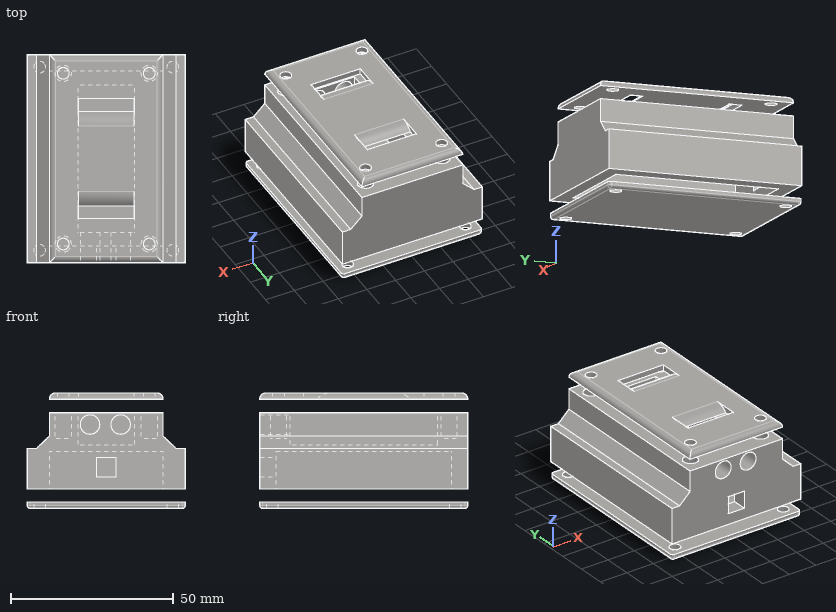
import cadquery as cq
import math

body_width = 48.76
body_length = 64.12
total_height = 35.61
plate_thickness = 2.0
housing_bottom = 6.0
housing_height = 23.5
housing_top = housing_bottom + housing_height
lid_bottom = total_height - plate_thickness

base_fillet = 0.95
base_hole_pitch_x = 41.0
base_hole_pitch_y = 56.4
screw_diameter = 3.6

neck_width = 35.1
foot_height = 12.5
shoulder_rise = 3.8
shoulder_run = 3.95

pocket_width = 17.5
pocket_length = 45.4
pocket_depth = 10.0

cavity_end_wall = 5.1
cavity_width = neck_width
floor_thickness = 2.0
cavity_depth = housing_height - pocket_depth - floor_thickness

cable_hole_diameter = 6.0
cable_hole_positions = (-5.0, 4.45)
cable_hole_drop = 3.65
window_size = 6.0
window_rise = 3.75

lid_fillet = 1.99
lid_hole_pitch_x = 26.5
lid_hole_pitch_y = 52.55
insert_diameter = 5.0
insert_depth = 8.0

slot_width = 17.1
slot_inner = 10.1
slot_outer = 18.5
ramp_run = 4.4


def corner_holes(pitch_x, pitch_y, diameter, bottom, depth):
    """Four vertical cylinders at the corners of a centred rectangle."""
    return (
        cq.Workplane("XY", origin=(0, 0, bottom))
        .rect(pitch_x, pitch_y, forConstruction=True)
        .vertices()
        .circle(diameter / 2)
        .extrude(depth)
    )


def make_base_plate():
    """Flat plate with rounded corners and a rounded lower rim."""
    plate = cq.Workplane("XY").rect(body_width, body_length).extrude(plate_thickness)
    plate = plate.edges("|Z").fillet(base_fillet)
    plate = plate.faces("<Z").edges().fillet(base_fillet)
    return plate.cut(
        corner_holes(base_hole_pitch_x, base_hole_pitch_y, screw_diameter, 0, plate_thickness)
    )


def make_housing():
    """Stepped block with a top pocket, a lower cavity and front openings."""
    foot_half = body_width / 2
    neck_half = neck_width / 2
    shoulder_bottom = housing_bottom + foot_height
    half_profile = [
        (foot_half, housing_bottom),
        (foot_half, shoulder_bottom),
        (neck_half + shoulder_run, shoulder_bottom),
        (neck_half, shoulder_bottom + shoulder_rise),
        (neck_half, housing_top),
    ]
    mirrored = [(-x, z) for x, z in reversed(half_profile)]
    front_y = -body_length / 2
    front = cq.Workplane("XZ", origin=(0, front_y, 0))
    housing = front.polyline(half_profile + mirrored).close().extrude(-body_length)

    pocket_floor = housing_top - pocket_depth
    pocket = (
        cq.Workplane("XY", origin=(0, 0, pocket_floor))
        .rect(pocket_width, pocket_length)
        .extrude(pocket_depth)
    )
    cavity = (
        cq.Workplane("XY", origin=(0, 0, housing_bottom))
        .rect(cavity_width, body_length - 2 * cavity_end_wall)
        .extrude(cavity_depth)
    )

    cable_hole_z = housing_top - cable_hole_drop
    cable_holes = (
        front.pushPoints([(x, cable_hole_z) for x in cable_hole_positions])
        .circle(cable_hole_diameter / 2)
        .extrude(-(body_length - pocket_length) / 2)
    )
    window = (
        front.center(0, housing_bottom + window_rise + window_size / 2)
        .rect(window_size, window_size)
        .extrude(-cavity_end_wall)
    )
    inserts = corner_holes(
        lid_hole_pitch_x, lid_hole_pitch_y, insert_diameter, housing_top - insert_depth, insert_depth
    )
    return housing.cut(pocket).cut(cavity).cut(cable_holes).cut(window).cut(inserts)


def make_slot():
    """Slot through the lid on the +Y side, leaving a convex ramp at its inner edge."""
    radius = (ramp_run**2 + plate_thickness**2) / (2 * plate_thickness)
    half_angle = math.asin(ramp_run / radius) / 2
    arc_middle = (
        slot_inner + radius * math.sin(half_angle),
        total_height - radius * (1 - math.cos(half_angle)),
    )
    return (
        cq.Workplane("YZ", origin=(-slot_width / 2, 0, 0))
        .moveTo(slot_inner, total_height)
        .threePointArc(arc_middle, (slot_inner + ramp_run, lid_bottom))
        .lineTo(slot_outer, lid_bottom)
        .lineTo(slot_outer, total_height)
        .close()
        .extrude(slot_width)
    )


def make_lid():
    """Cover plate with a rounded upper rim, screw holes and two mirrored slots."""
    lid = (
        cq.Workplane("XY", origin=(0, 0, lid_bottom))
        .rect(neck_width, body_length)
        .extrude(plate_thickness)
    )
    lid = lid.faces(">Z").edges().fillet(lid_fillet)
    lid = lid.cut(
        corner_holes(lid_hole_pitch_x, lid_hole_pitch_y, screw_diameter, lid_bottom, plate_thickness)
    )
    slot = make_slot()
    return lid.cut(slot).cut(slot.mirror("XZ"))


base_plate = make_base_plate()
housing = make_housing()
lid = make_lid()

result = cq.Compound.makeCompound([base_plate.val(), housing.val(), lid.val()])